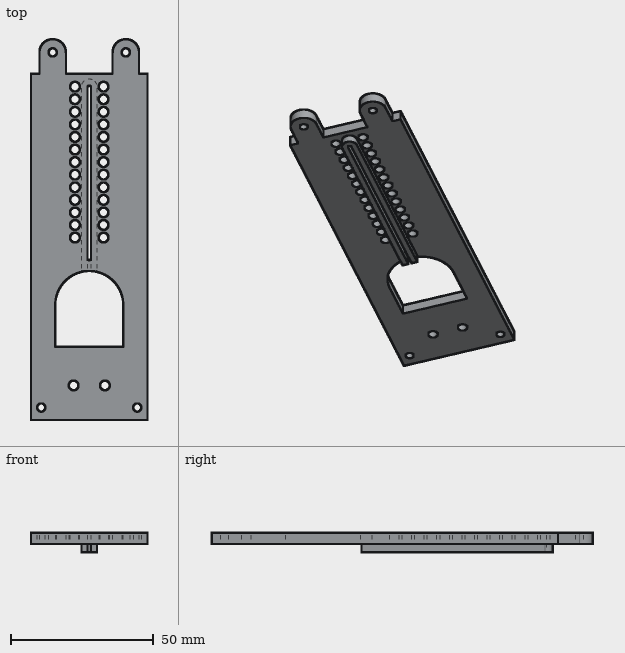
import cadquery as cq

total_length = 133.7
body_width = 41.0
plate_thickness = 4.0
rail_height = 3.0

tab_length = 12.2
tab_width = 9.4
tab_spacing = 25.7
tab_hole_diameter = 2.8
body_length = total_length - tab_length
tab_center_y = total_length - tab_width / 2

row_hole_diameter = 3.3
row_hole_count = 13
row_hole_pitch = 4.4
row_spacing = 10.0
row_rear_y = 117.0

slot_width = 1.2
slot_front_y = 56.2
slot_rear_y = 117.4
rail_width = 5.5
rail_front_y = 52.5
rail_rear_y = 119.7

window_width = 23.8
window_front_y = 25.8
window_rear_y = 52.3

inner_hole_diameter = 3.3
inner_hole_spacing = 11.0
inner_hole_y = 12.2
corner_hole_diameter = 2.8
corner_hole_spacing = 33.7
corner_hole_y = 4.4


def arch(width, front_y, rear_y, bottom_z, height):
    """Solid with a square front end and a semicircular rear end."""
    half = width / 2
    return (
        cq.Workplane("XY", origin=(0, 0, bottom_z))
        .moveTo(-half, front_y)
        .lineTo(half, front_y)
        .lineTo(half, rear_y - half)
        .threePointArc((0, rear_y), (-half, rear_y - half))
        .close()
        .extrude(height)
    )


def mirrored_pair(spacing, y):
    """Two points at equal distances either side of the center line."""
    return [(-spacing / 2, y), (spacing / 2, y)]


def through_holes(points, diameter):
    return cq.Workplane("XY").pushPoints(points).circle(diameter / 2).extrude(plate_thickness)


plate = cq.Workplane("XY").rect(body_width, body_length).extrude(plate_thickness)
plate = plate.translate((0, body_length / 2, 0))
tab = arch(tab_width, body_length, total_length, 0, plate_thickness)
for side in (-1, 1):
    plate = plate.union(tab.translate((side * tab_spacing / 2, 0, 0)))

plate = plate.cut(arch(window_width, window_front_y, window_rear_y, 0, plate_thickness))
slot_length = slot_rear_y - slot_front_y
slot = (
    cq.Workplane("XY", origin=(0, (slot_front_y + slot_rear_y) / 2, 0))
    .slot2D(slot_length, slot_width, 90)
    .extrude(plate_thickness)
)
plate = plate.cut(slot)

row_points = []
for index in range(row_hole_count):
    row_points += mirrored_pair(row_spacing, row_rear_y - index * row_hole_pitch)
plate = plate.cut(through_holes(row_points, row_hole_diameter))
plate = plate.cut(through_holes(mirrored_pair(tab_spacing, tab_center_y), tab_hole_diameter))
plate = plate.cut(through_holes(mirrored_pair(inner_hole_spacing, inner_hole_y), inner_hole_diameter))
plate = plate.cut(through_holes(mirrored_pair(corner_hole_spacing, corner_hole_y), corner_hole_diameter))

rail = arch(rail_width, rail_front_y, rail_rear_y, -rail_height, rail_height)
rail = rail.cut(arch(slot_width, rail_front_y, slot_rear_y, -rail_height, rail_height))

result = plate.union(rail)